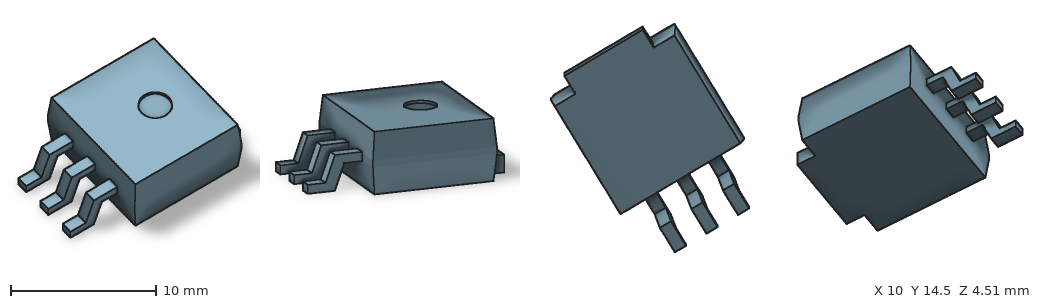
import cadquery as cq

total_length = 14.5
total_height = 4.51

body_width = 10.0
body_length = 9.2
band_height = 0.5
taper_inset = 0.19
taper_height = (total_height - band_height) / 2

tab_width = 6.3
tab_height = 1.28
tab_reach = 1.28

lead_count = 3
lead_pitch = 2.54
lead_width = 0.9
lead_thickness = 0.65
lead_top = 2.58
lead_reach = total_length - body_length - tab_reach
foot_length = 1.32
bend_run = 0.7

dimple_diameter = 2.32
dimple_depth = 0.2
dimple_offset = 0.91

embed = 0.58


def make_tapered_half(start_z, end_z):
    """Half of the body, shrinking from the band at start_z to the face at end_z."""
    return (
        cq.Workplane("XY", origin=(0, 0, start_z))
        .rect(body_width, body_length)
        .workplane(offset=end_z - start_z)
        .rect(body_width - 2 * taper_inset, body_length - 2 * taper_inset)
        .loft(ruled=True)
    )


def make_body():
    band_bottom = taper_height
    band_top = taper_height + band_height
    band = cq.Workplane("XY", origin=(0, 0, band_bottom)).box(
        body_width, body_length, band_height, centered=(True, True, False)
    )
    lower_half = make_tapered_half(band_bottom, 0)
    upper_half = make_tapered_half(band_top, total_height)
    return band.union(lower_half).union(upper_half)


def make_tab():
    inner_y = body_length / 2 - embed
    return cq.Workplane("XY", origin=(0, inner_y, 0)).box(
        tab_width, tab_reach + embed, tab_height, centered=(True, False, False)
    )


def make_lead(center_x):
    """Flat shoulder, sloping leg and flat foot, extruded across the lead width."""
    inner_y = -body_length / 2 + embed
    toe_y = -body_length / 2 - lead_reach
    heel_top_y = toe_y + foot_length
    shoulder_top_y = heel_top_y + bend_run
    shoulder_bottom_y = -body_length / 2 - foot_length
    heel_bottom_y = shoulder_bottom_y - bend_run
    side_profile = [
        (inner_y, lead_top),
        (shoulder_top_y, lead_top),
        (heel_top_y, lead_thickness),
        (toe_y, lead_thickness),
        (toe_y, 0),
        (heel_bottom_y, 0),
        (shoulder_bottom_y, lead_top - lead_thickness),
        (inner_y, lead_top - lead_thickness),
    ]
    return (
        cq.Workplane("YZ", origin=(center_x, 0, 0))
        .polyline(side_profile)
        .close()
        .extrude(lead_width / 2, both=True)
    )


def make_dimple():
    top_center = (0, dimple_offset, total_height)
    return cq.Workplane("XY", origin=top_center).circle(dimple_diameter / 2).extrude(-dimple_depth)


result = make_body().union(make_tab())
for index in range(lead_count):
    lead_x = (index - (lead_count - 1) / 2) * lead_pitch
    result = result.union(make_lead(lead_x))
result = result.cut(make_dimple())